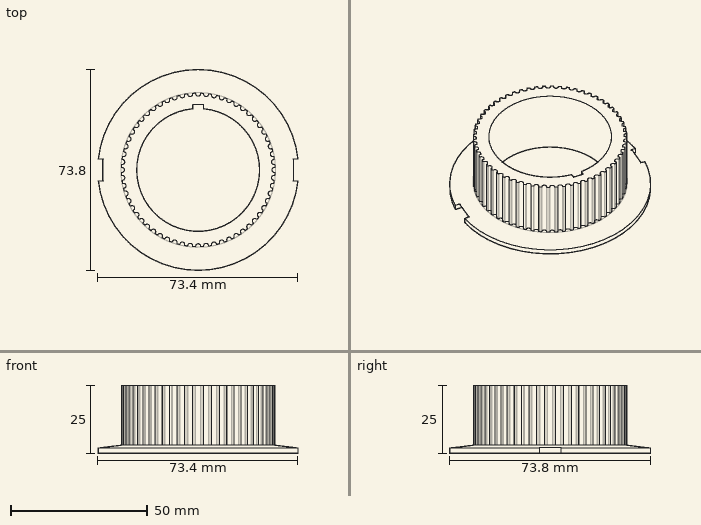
import cadquery as cq
import math

total_height = 25.0
bore_radius = 22.5

flange_radius = 36.9
rim_height = 2.0
flange_height = 3.0
taper_inner_radius = 28.4

tooth_count = 60
hub_radius = 28.2
groove_depth = 1.1
groove_radius = 0.9
tip_fillet_radius = 0.2

keyway_width = 3.9
keyway_reach = 24.0

notch_width = 8.0
notch_floor_distance = 35.9
notch_floor_slope = math.radians(45)


def polar(radius, angle):
    """Point at a radius and an angle (radians) from +X."""
    return (radius * math.cos(angle), radius * math.sin(angle))


def make_flange():
    """Disc with a straight rim and a shallow conical upper face."""
    half_section = [
        (0, 0),
        (flange_radius, 0),
        (flange_radius, rim_height),
        (taper_inner_radius, flange_height),
        (0, flange_height),
    ]
    return cq.Workplane("XZ").polyline(half_section).close().revolve(360, (0, 0), (0, 1))


def make_toothed_hub():
    """Cylinder with round grooves whose mouths blend into the tooth tips."""
    pitch_angle = 2 * math.pi / tooth_count
    groove_center_radius = hub_radius - groove_depth + groove_radius
    fillet_center_radius = hub_radius - tip_fillet_radius

    center_distance = groove_radius + tip_fillet_radius
    fillet_angle = math.acos(
        (fillet_center_radius**2 + groove_center_radius**2 - center_distance**2)
        / (2 * fillet_center_radius * groove_center_radius)
    )
    fillet_x, fillet_y = polar(fillet_center_radius, fillet_angle)

    to_fillet = math.atan2(fillet_y, fillet_x - groove_center_radius)
    tangent_x = groove_center_radius + groove_radius * math.cos(to_fillet)
    tangent_y = groove_radius * math.sin(to_fillet)
    tangent_radius = math.hypot(tangent_x, tangent_y)
    tangent_angle = math.atan2(tangent_y, tangent_x)

    middle_direction = (fillet_angle + to_fillet - math.pi) / 2
    middle_x = fillet_x + tip_fillet_radius * math.cos(middle_direction)
    middle_y = fillet_y + tip_fillet_radius * math.sin(middle_direction)
    middle_radius = math.hypot(middle_x, middle_y)
    middle_angle = math.atan2(middle_y, middle_x)

    outline = cq.Workplane("XY").moveTo(*polar(hub_radius, -fillet_angle))
    for groove in range(tooth_count):
        groove_angle = groove * pitch_angle
        next_groove_angle = groove_angle + pitch_angle
        outline = (
            outline
            .threePointArc(
                polar(middle_radius, groove_angle - middle_angle),
                polar(tangent_radius, groove_angle - tangent_angle),
            )
            .threePointArc(
                polar(hub_radius - groove_depth, groove_angle),
                polar(tangent_radius, groove_angle + tangent_angle),
            )
            .threePointArc(
                polar(middle_radius, groove_angle + middle_angle),
                polar(hub_radius, groove_angle + fillet_angle),
            )
            .threePointArc(
                polar(hub_radius, groove_angle + pitch_angle / 2),
                polar(hub_radius, next_groove_angle - fillet_angle),
            )
        )
    return outline.close().extrude(total_height)


def make_bore_with_keyway():
    """Through bore joined to a square-cornered keyway."""
    bore = cq.Workplane("XY").circle(bore_radius).extrude(total_height)
    keyway = cq.Workplane("XY").box(
        keyway_width, keyway_reach, total_height, centered=(True, False, False)
    )
    return bore.union(keyway)


def make_notches():
    """Pair of notch cutters whose inner faces slope inward towards the underside."""
    outer_x = 2 * flange_radius - notch_floor_distance
    undercut_reach = flange_height / math.tan(notch_floor_slope)
    cutter = (
        cq.Workplane("XZ")
        .polyline([
            (outer_x, 0),
            (outer_x, flange_height),
            (notch_floor_distance, flange_height),
            (notch_floor_distance - undercut_reach, 0),
        ])
        .close()
        .extrude(notch_width / 2, both=True)
    )
    return cutter.union(cutter.mirror("YZ"))


result = (
    make_flange()
    .union(make_toothed_hub())
    .cut(make_bore_with_keyway())
    .cut(make_notches())
)